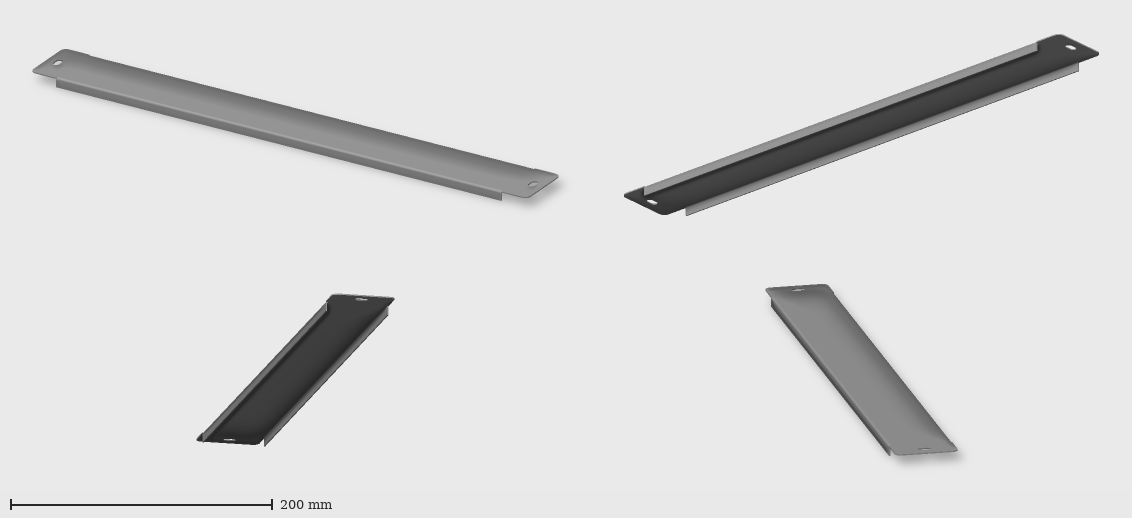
import cadquery as cq

length = 445.0
width = 49.5
height = 8.0
sheet = 1.0

flange_length = 398.5
inner_bend_radius = 1.0
outer_bend_radius = inner_bend_radius + sheet

corner_radius = 5.0
slot_width = 5.5
slot_length = 10.2
slot_edge_distance = 10.0


def flat_plate():
    """Full-length top sheet with rounded corners and its upper face at Z = 0."""
    plate = cq.Workplane("XY").workplane(offset=-sheet).rect(length, width).extrude(sheet)
    return plate.edges("|Z").fillet(corner_radius)


def folded_channel():
    """Downward-open channel with bent flanges on both long sides."""
    inner_width = width - 2 * sheet
    channel = (
        cq.Workplane("XY")
        .box(flange_length, width, height, centered=(True, True, False))
        .edges("|X and >Z")
        .fillet(outer_bend_radius)
    )
    cavity = (
        cq.Workplane("XY")
        .box(flange_length, inner_width, height - sheet, centered=(True, True, False))
        .edges("|X and >Z")
        .fillet(inner_bend_radius)
    )
    return channel.cut(cavity).translate((0, 0, -height))


def end_tabs():
    """The flat sheet beyond the flanges, joined by a strip between the bends."""
    bend_strips = cq.Workplane("XY").box(flange_length, width, 2 * height)
    strip_width = width - 2 * outer_bend_radius
    flat_strip = cq.Workplane("XY").box(flange_length, strip_width, 2 * height)
    return flat_plate().cut(bend_strips.cut(flat_strip))


def mounting_slots():
    """A crosswise round-ended slot through each end tab."""
    slot_x = length / 2 - slot_edge_distance
    return (
        cq.Workplane("XY")
        .workplane(offset=-height)
        .pushPoints([(-slot_x, 0), (slot_x, 0)])
        .slot2D(slot_length, slot_width, 90)
        .extrude(2 * height)
    )


result = folded_channel().union(end_tabs()).cut(mounting_slots()).clean()